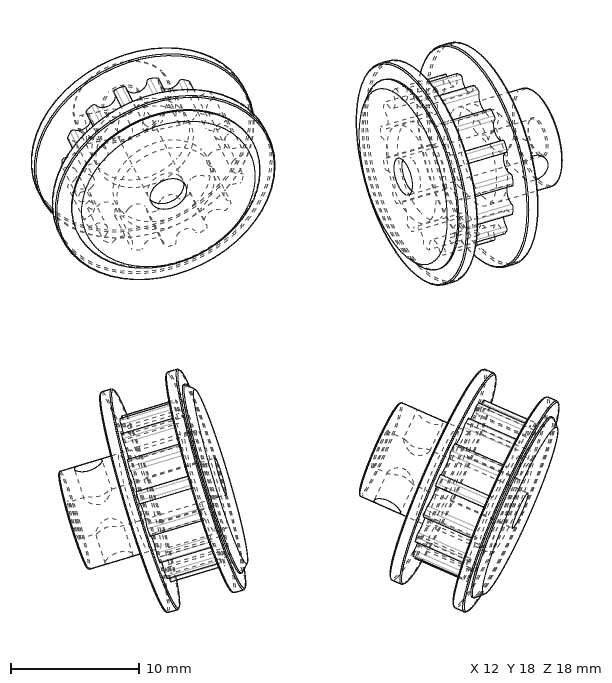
import cadquery as cq
import math


boss_length = 4.91
flange_thickness = 0.99
drum_width = 4.41
cap_thickness = 0.72
total_length = boss_length + 2 * flange_thickness + drum_width + cap_thickness

flange_radius = 9.0
boss_radius = 4.0
bore_radius = 1.5
cap_radius = 7.7

edge_chamfer = 0.1
cap_chamfer = 0.6
set_hole_radius = 1.13

tooth_count = 15
tip_radius = 6.77
root_radius = 5.65
groove_radius = 0.86
corner_radius = 0.25

boss_end_x = -total_length / 2
left_flange_x = boss_end_x + boss_length
drum_x = left_flange_x + flange_thickness
right_flange_x = drum_x + drum_width
cap_x = right_flange_x + flange_thickness


def disc(start_x, radius, length):
    """Solid disc on the X axis, growing toward +X from start_x."""
    return cq.Workplane("YZ", origin=(start_x, 0, 0)).circle(radius).extrude(length)


def polar(radius, angle):
    """Point at an angle in degrees, in the plane across the X axis."""
    return (radius * math.cos(math.radians(angle)), radius * math.sin(math.radians(angle)))


def offset(point, distance, angle):
    """Point at a distance and an angle in degrees from another point."""
    step = polar(distance, angle)
    return (point[0] + step[0], point[1] + step[1])


def angle_between(side_a, side_b, opposite):
    """Angle in degrees between two sides of a triangle, from its three side lengths."""
    return math.degrees(math.acos((side_a**2 + side_b**2 - opposite**2) / (2 * side_a * side_b)))


def toothed_drum():
    """Drum whose outline repeats a round groove followed by a tooth."""
    pitch_angle = 360 / tooth_count
    groove_distance = root_radius + groove_radius
    corner_distance = tip_radius - corner_radius
    centre_gap = groove_radius + corner_radius
    corner_angle = angle_between(groove_distance, corner_distance, centre_gap)
    half_groove = angle_between(groove_distance, centre_gap, corner_distance)
    half_corner = (corner_angle + half_groove) / 2

    first_groove = 180 + pitch_angle / 2
    outline = cq.Workplane("YZ", origin=(drum_x, 0, 0))
    outline = outline.moveTo(*polar(tip_radius, first_groove - corner_angle))
    for index in range(tooth_count):
        middle = first_groove + index * pitch_angle
        before = middle - corner_angle
        after = middle + corner_angle
        inward = middle + 180
        groove_centre = polar(groove_distance, middle)
        corner_before = polar(corner_distance, before)
        corner_after = polar(corner_distance, after)
        outline = (
            outline
            .threePointArc(
                offset(corner_before, corner_radius, before + half_corner),
                offset(groove_centre, groove_radius, inward + half_groove),
            )
            .threePointArc(
                polar(root_radius, middle),
                offset(groove_centre, groove_radius, inward - half_groove),
            )
            .threePointArc(
                offset(corner_after, corner_radius, after - half_corner),
                polar(tip_radius, after),
            )
            .threePointArc(
                polar(tip_radius, middle + pitch_angle / 2),
                polar(tip_radius, before + pitch_angle),
            )
        )
    return outline.close().extrude(drum_width)


def hub():
    """Boss, toothed drum and the spigots that carry the flanges, in one piece."""
    core = disc(boss_end_x, boss_radius, cap_x - boss_end_x).faces("<X").chamfer(edge_chamfer)
    body = core.union(toothed_drum())
    body = body.cut(disc(boss_end_x, bore_radius, total_length))
    bore_break = cq.Solid.makeCone(
        bore_radius + edge_chamfer, bore_radius, edge_chamfer,
        pnt=cq.Vector(boss_end_x, 0, 0), dir=cq.Vector(1, 0, 0),
    )
    set_hole = (
        cq.Workplane("XZ", origin=(boss_end_x + boss_length / 2, 0, 0))
        .circle(set_hole_radius)
        .extrude(boss_radius, both=True)
    )
    return body.cut(cq.Workplane(bore_break)).cut(set_hole)


def flange(start_x):
    """Flat ring on a spigot of the hub, with both rim edges broken."""
    plate = disc(start_x, flange_radius, flange_thickness).edges().chamfer(edge_chamfer)
    return plate.cut(disc(start_x, boss_radius, flange_thickness))


def end_cap():
    """Bevelled disc that closes the +X end, bored for the shaft."""
    cap = disc(cap_x, cap_radius, cap_thickness).faces(">X").edges().chamfer(cap_chamfer)
    return cap.cut(disc(cap_x, bore_radius, cap_thickness))


flanges = [flange(start_x) for start_x in (left_flange_x, right_flange_x)]

result = cq.Compound.makeCompound([
    hub().val(),
    *[ring.val() for ring in flanges],
    end_cap().val(),
])